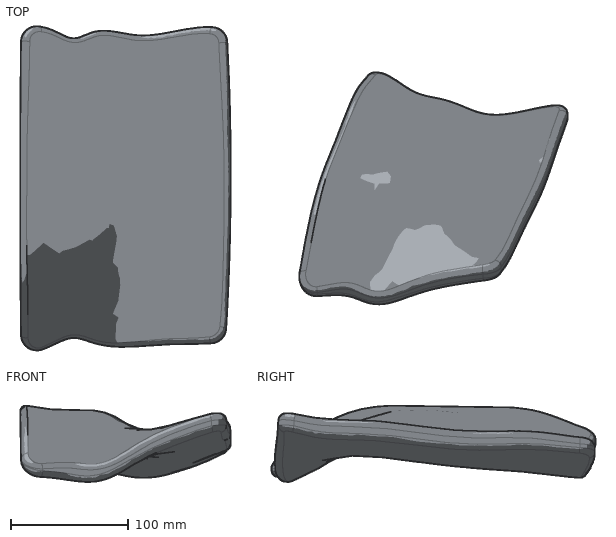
import cadquery as cq

LENGTH = 276.7
WIDTH = 179.8
HALF_LENGTH = LENGTH / 2
HALF_WIDTH = WIDTH / 2

RIM_THICKNESS = 14.5
MIDDLE_SWELL = 8.3
SWELL_POWER = 4
RIM_RADIUS = 5.5
CORNER_RADIUS = 13.8

COLUMN_SPACING = 23.5
CROSS_SECTIONS = [
    (-144, [10.0, 5.3, 2.5, 4.7, 18.3, 33.2, 45.0, 51.0, 50.4]),
    (-114.8, [29.3, 24.3, 15.8, 16.5, 25.7, 35.5, 44.3, 50.5, 51.7]),
    (-85.8, [46.5, 42.0, 32.6, 31.8, 33.2, 36.5, 42.0, 46.5, 47.5]),
    (-58, [55.0, 52.3, 46.0, 44.3, 38.0, 36.0, 38.0, 43.7, 45.7]),
    (0, [57.3, 55.5, 52.3, 51.5, 41.5, 30.0, 31.3, 37.5, 42.5]),
    (58, [57.5, 53.5, 46.5, 43.2, 33.2, 24.0, 26.0, 33.5, 41.0]),
    (101.0, [53.5, 45.0, 36.8, 31.0, 21.5, 18.8, 22.0, 30.5, 41.2]),
    (144, [43.7, 34.0, 24.3, 17.7, 14.5, 14.5, 20.0, 30.5, 42.5]),
]
SURFACE_TOLERANCE = 0.05

BACK_END = [
    (-89.0, 137.2), (-74.0, HALF_LENGTH), (-61, 134.5), (-44.3, 128.0), (-27.7, 133.5),
    (8.3, 131.0), (44.3, 134.5), (69.2, 137.8), (86.3, 135.5),
]
FRONT_END = [
    (85.2, -131.0), (72, -132.3), (36, -133.0), (-27.7, -131.7),
    (-44.3, -127.5), (-58, -131.7), (-74.0, -HALF_LENGTH), (-89.0, -137.2),
]
LEFT_BULGE = (-HALF_WIDTH, 0)
RIGHT_BULGE = (HALF_WIDTH, 13.8)

REACH = 166.0


def thickness(x, y):
    """Vertical thickness: even along the rim, swelling to a maximum in the middle."""
    across = max(0, 1 - (x / HALF_WIDTH) ** SWELL_POWER)
    along = max(0, 1 - (y / HALF_LENGTH) ** SWELL_POWER)
    return RIM_THICKNESS + MIDDLE_SWELL * across * along


def skin(side):
    """Smooth face half a thickness above (side=1) or below (side=-1) the mid surface."""
    rows = []
    for y, heights in CROSS_SECTIONS:
        first_x = -COLUMN_SPACING * (len(heights) - 1) / 2
        row = []
        for column, height in enumerate(heights):
            x = first_x + column * COLUMN_SPACING
            row.append(cq.Vector(x, y, height + side * thickness(x, y) / 2))
        rows.append(row)
    return cq.Face.makeSplineApprox(rows, tol=SURFACE_TOLERANCE, minDeg=3, maxDeg=5)


def swept_skin(side):
    """Solid reaching from a skin through the inside of the pad."""
    return cq.Workplane(obj=cq.Solid.extrudeLinear(skin(side), cq.Vector(0, 0, -side * REACH)))


def outline_prism():
    """Tall prism over the plan outline: two bowed long sides, two wavy ends, rounded corners."""
    return (
        cq.Workplane("XY", origin=(0, 0, -REACH))
        .moveTo(*BACK_END[0])
        .spline(BACK_END[1:], includeCurrent=True)
        .threePointArc(RIGHT_BULGE, FRONT_END[0])
        .spline(FRONT_END[1:], includeCurrent=True)
        .threePointArc(LEFT_BULGE, BACK_END[0])
        .close()
        .extrude(2 * REACH)
        .edges("|Z").fillet(CORNER_RADIUS)
    )


def rounded_rim(sheet):
    """Round the edges of the two skins, which are the two largest faces."""
    skins = sorted(sheet.faces().vals(), key=lambda face: face.Area())[-2:]
    return sheet.newObject(skins).edges().fillet(RIM_RADIUS)


trimmed_sheet = outline_prism().intersect(swept_skin(1)).intersect(swept_skin(-1))
result = rounded_rim(trimmed_sheet)